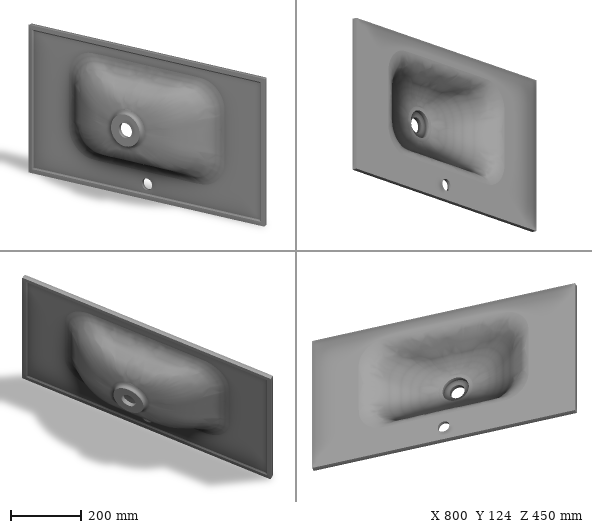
import cadquery as cq
import math


LENGTH = 800.0
HEIGHT = 450.0
PLATE_THICKNESS = 14.0
CORNER_RADIUS = 2.0
SIDE_DRAFT = 3.0
BORDER_WIDTH = 12.4
STEP_RUN = 4.6
RECESS_DEPTH = 3.5
PANEL_DEPTH = PLATE_THICKNESS - RECESS_DEPTH

BOWL_Z = 20.0
BOSS_FLARE_RADIUS = 57.5
BOWL_SECTIONS = [
    (264.0, 162.0, 84.0, 0.0),
    (252.0, 153.5, 82.0, 2.0),
    (239.0, 142.8, 80.0, 8.0),
    (216.5, 129.8, 78.0, 26.0),
    (190.0, 118.8, 76.0, 50.0),
    (161.0, 108.5, 75.0, 70.0),
    (136.0, 96.0, 72.0, 82.0),
    (112.0, 84.0, 69.0, 90.0),
    (82.0, 69.0, 63.0, 96.0),
    (BOSS_FLARE_RADIUS, BOSS_FLARE_RADIUS, 57.0, 99.0),
]
BOWL_RISE = BOWL_SECTIONS[-1][-1]
FLAT_STEPS = 3
ARC_STEPS = 6
WALL = PANEL_DEPTH
WALL_INSET = 6.0

TOTAL_DEPTH = 124.0
BOSS_RADIUS = 49.0
BOSS_TIP_RADIUS = 48.4
FLARE_HEIGHT = 9.5
FLARE_MIDPOINT = 0.35
OVERLAP = 0.5
DRAIN_RADIUS = 22.5
DRAIN_SEAT_RADIUS = 40.0
DRAIN_FLOOR = 12.0
TAP_RADIUS = 17.5
TAP_Z = -180.0


def plane_at(depth, z=0.0):
    """Workplane facing -Y at the given depth and height."""
    return cq.Workplane("XZ", origin=(0, -depth, z))


def disc(radius, start, end, z):
    """Round cylinder along Y between two depths."""
    return plane_at(start, z).circle(radius).extrude(end - start)


def half_outline(half_length, half_height, radius, side):
    """Points of half a rounded rectangle, from the middle of its top to the middle of its bottom."""
    flat = half_length - radius
    rise = half_height - radius
    quarter = [(flat * step / FLAT_STEPS, half_height) for step in range(FLAT_STEPS)]
    for step in range(ARC_STEPS + 1):
        angle = math.radians(90 - 90 * step / ARC_STEPS)
        quarter.append((flat + radius * math.cos(angle), rise + radius * math.sin(angle)))
    quarter += [(half_length, rise * (1 - step / FLAT_STEPS)) for step in range(1, FLAT_STEPS)]
    lower = [(x, -z) for x, z in reversed(quarter)]
    return [(side * x, z) for x, z in quarter + [(half_length, 0)] + lower]


def bowl_half(side, inset, base_depth):
    """Half of the bowl body on one side of X = 0, lofted smoothly through the bowl sections."""
    wires = []
    for half_length, half_height, radius, rise in BOWL_SECTIONS:
        points = half_outline(half_length - inset, half_height - inset, radius - inset, side)
        section = (
            plane_at(base_depth + rise, BOWL_Z)
            .moveTo(*points[0])
            .spline(points[1:], tangents=[(side, 0), (-side, 0)], includeCurrent=True)
            .close()
        )
        wires.append(section.val())
    return cq.Workplane(cq.Solid.makeLoft(wires))


def bowl_body(inset, base_depth):
    """Whole bowl body, drawn in by inset on its sides and starting at base_depth."""
    return bowl_half(1, inset, base_depth).union(bowl_half(-1, inset, base_depth))


def make_plate():
    """Flat plate with a raised border around a sloped-edge recess."""
    outline = cq.Sketch().rect(LENGTH, HEIGHT).vertices().fillet(CORNER_RADIUS)
    plate = plane_at(PLATE_THICKNESS).placeSketch(outline).extrude(-PLATE_THICKNESS, taper=SIDE_DRAFT)
    inner = 2 * (BORDER_WIDTH + STEP_RUN)
    outer = 2 * BORDER_WIDTH
    recess = (
        plane_at(PANEL_DEPTH)
        .rect(LENGTH - inner, HEIGHT - inner)
        .workplane(offset=RECESS_DEPTH)
        .rect(LENGTH - outer, HEIGHT - outer)
        .loft(ruled=True)
    )
    return plate.cut(recess)


def make_boss():
    """Solid drain boss, slightly tapered, with a concave flare where it meets the bowl."""
    floor = PANEL_DEPTH + BOWL_RISE
    flare_run = BOSS_FLARE_RADIUS - BOSS_RADIUS
    flare_end = floor + FLARE_HEIGHT
    profile = (
        cq.Workplane("XY", origin=(0, 0, BOWL_Z))
        .moveTo(0, -(floor - OVERLAP))
        .lineTo(BOSS_FLARE_RADIUS, -(floor - OVERLAP))
        .lineTo(BOSS_FLARE_RADIUS, -floor)
        .threePointArc(
            (BOSS_RADIUS + flare_run * FLARE_MIDPOINT, -(floor + FLARE_HEIGHT * FLARE_MIDPOINT)),
            (BOSS_RADIUS, -flare_end),
        )
        .lineTo(BOSS_TIP_RADIUS, -TOTAL_DEPTH)
        .lineTo(0, -TOTAL_DEPTH)
        .close()
    )
    return profile.revolve(360, (0, 0, 0), (0, 1, 0))


def make_drain_cut():
    """Round seat sunk into the bowl floor, with the drain hole through the boss."""
    seat = disc(DRAIN_SEAT_RADIUS, BOWL_RISE - OVERLAP, TOTAL_DEPTH - DRAIN_FLOOR, BOWL_Z)
    return seat.union(disc(DRAIN_RADIUS, BOWL_RISE, TOTAL_DEPTH, BOWL_Z))


outer_body = make_plate().union(bowl_body(0.0, PANEL_DEPTH)).union(make_boss())
hollow_body = outer_body.cut(bowl_body(WALL_INSET, PANEL_DEPTH - WALL))
tap_hole = disc(TAP_RADIUS, 0, PLATE_THICKNESS, TAP_Z)
result = hollow_body.cut(make_drain_cut()).cut(tap_hole)